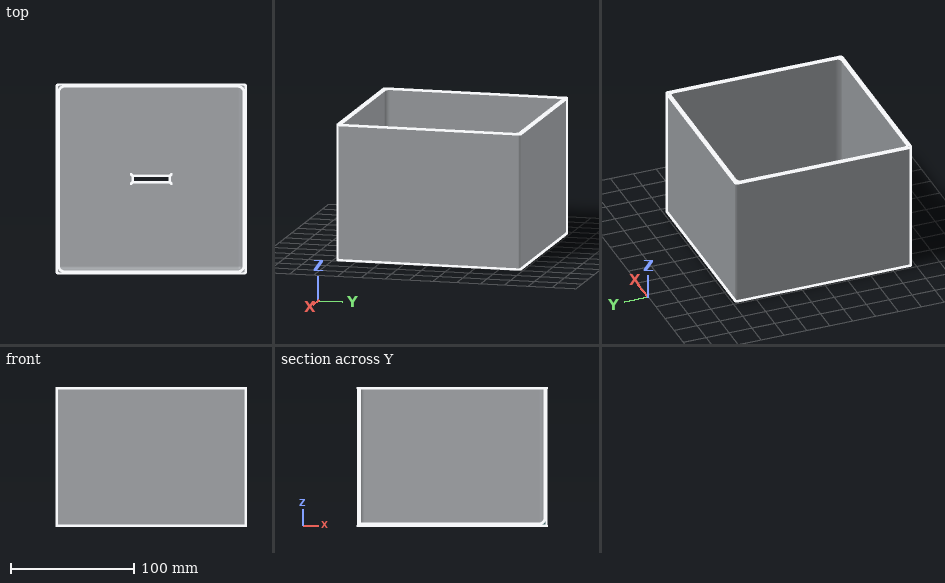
import cadquery as cq

inner_side = 150.0
wall = 1.8
outer_side = inner_side + 2 * wall
height = 112.0
floor_thickness = 2.0
outer_corner_radius = 1.8
inner_radius = 4.0

slot_length = 30.0
slot_width = 5.0
slot_edge_radius = 1.8


def square_block(side, bottom, top):
    """Upright square block centred on the Z axis."""
    return cq.Workplane("XY").workplane(offset=bottom).rect(side, side).extrude(top - bottom)


def make_outer_block():
    """Solid block with the outside shape of the box."""
    return square_block(outer_side, 0, height).edges("|Z").fillet(outer_corner_radius)


def make_cavity():
    """Inside of the box: rounded corners, with the floor rounded only along the -Y and +X walls.

    The two rounded floor edges meet the rounded corner between them in a ball-shaped patch.
    """
    upright = square_block(inner_side, floor_thickness, height).edges("|Z").fillet(inner_radius)
    scoop = square_block(inner_side, floor_thickness, height)
    floor_edges = scoop.faces("<Z").edges("<Y or >X")
    corner_edge = scoop.edges("|Z").edges(">X and <Y")
    scoop = scoop.newObject(floor_edges.vals() + corner_edge.vals()).fillet(inner_radius)
    return upright.intersect(scoop)


def cut_slot(body):
    """Cut the floor slot and round its upper edge."""
    slot = cq.Workplane("XY").rect(slot_length, slot_width).extrude(floor_thickness)
    body = body.cut(slot)
    around_rim = cq.selectors.BoxSelector(
        (-slot_length, -slot_width, floor_thickness - slot_edge_radius),
        (slot_length, slot_width, floor_thickness + slot_edge_radius),
    )
    return body.edges(around_rim).edges("#Z").fillet(slot_edge_radius)


box = make_outer_block().cut(make_cavity())
result = cut_slot(box)